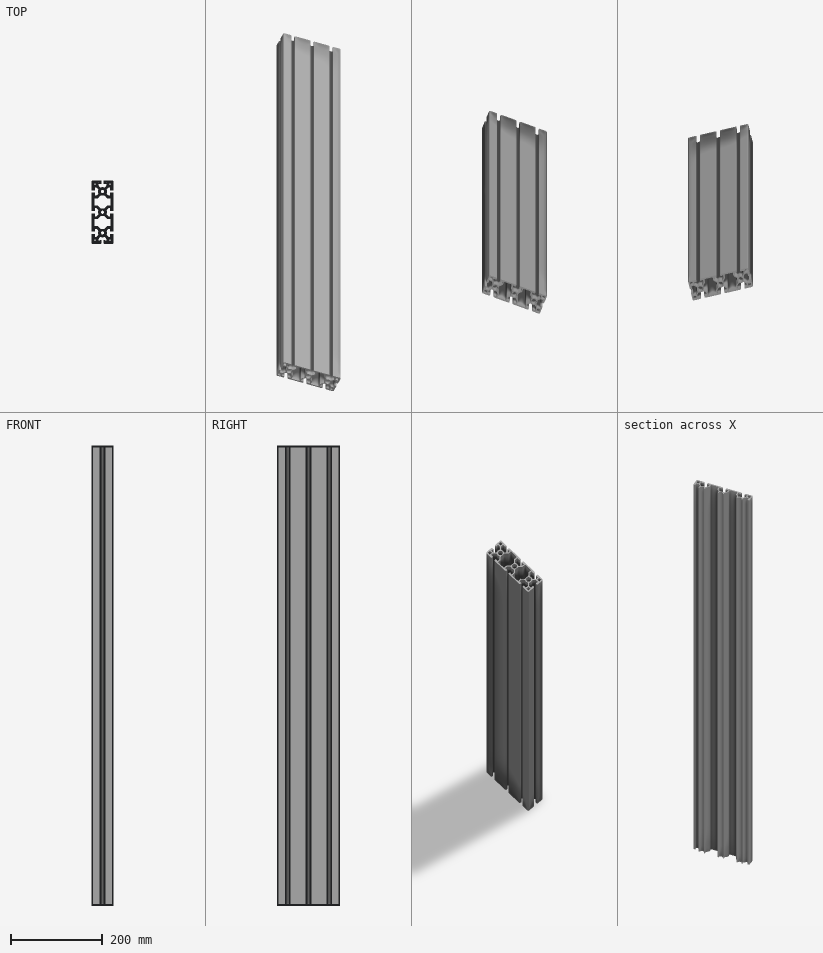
import cadquery as cq
import math

CELL = 45.0
CELL_COUNT = 3
LENGTH = 1000.0
CORNER_RADIUS = 2.6

OUTER_WALL = 3.0
SLOT_WALL = 2.6
WEB_THICKNESS = 2.3

CORE_TO_SLOT = 8.0
CORE_TO_CHAMBER = 7.0
BORE_DIAMETER = 11.0

SLOT_OPENING = 8.2
SLOT_INNER_WIDTH = 21.0
LIP_TIP_DEPTH = 4.8
LIP_ROOT_DEPTH = 4.3
BEVEL_WIDTH = 2.0
BEVEL_ANGLE = 14.5
CROWN_WIDTH = 3.2
CROWN_RADIUS = 5.0
FLOOR_ANGLE = 13.5

HALF_CELL = CELL / 2
SLOT_HALF = SLOT_INNER_WIDTH / 2
ROW_LENGTH = CELL * CELL_COUNT
CELL_CENTRES = [(i - (CELL_COUNT - 1) / 2) * CELL for i in range(CELL_COUNT)]
WEB_OFFSET = WEB_THICKNESS / 2 * math.sqrt(2)


def prism(outline):
    """Extrude a closed outline over the full length, centred on Z = 0."""
    return outline.extrude(LENGTH / 2, both=True)


def make_slot():
    """T-slot of a cell at the origin, open towards +X."""
    half_opening = SLOT_OPENING / 2
    bevel_depth = BEVEL_WIDTH * math.tan(math.radians(BEVEL_ANGLE))
    crown_half = CROWN_WIDTH / 2
    crown_edge = CORE_TO_SLOT - CROWN_RADIUS + math.sqrt(CROWN_RADIUS**2 - crown_half**2)
    slope = math.tan(math.radians(FLOOR_ANGLE))
    floor_end = (crown_edge + slope * crown_half - WEB_OFFSET) / (1 + slope)
    left_side = [
        (crown_edge, crown_half),
        (floor_end + WEB_OFFSET, floor_end),
        (SLOT_HALF + WEB_OFFSET, SLOT_HALF),
        (HALF_CELL - LIP_ROOT_DEPTH, SLOT_HALF),
        (HALF_CELL - LIP_TIP_DEPTH, half_opening),
        (HALF_CELL - bevel_depth, half_opening),
        (HALF_CELL, half_opening + BEVEL_WIDTH),
    ]
    right_side = [(x, -y) for x, y in reversed(left_side)]
    outline = (
        cq.Workplane("XY")
        .polyline(left_side + right_side)
        .threePointArc((CORE_TO_SLOT, 0), left_side[0])
        .close()
    )
    return prism(outline)


def make_chamber():
    """Hollow between two cells, centred on the origin: a box that tapers along the webs at both ends."""
    half_width = HALF_CELL - OUTER_WALL
    to_slot_wall = SLOT_HALF + SLOT_WALL
    upper = [
        (half_width, HALF_CELL - to_slot_wall),
        (to_slot_wall - WEB_OFFSET, HALF_CELL - to_slot_wall),
        (CORE_TO_CHAMBER - WEB_OFFSET, HALF_CELL - CORE_TO_CHAMBER),
    ]
    upper += [(-x, y) for x, y in reversed(upper)]
    lower = [(-x, -y) for x, y in upper]
    return prism(cq.Workplane("XY").polyline(upper + lower).close())


def make_corner_hollows():
    """Square hollow in each of the four outer corners."""
    side = HALF_CELL - SLOT_HALF - OUTER_WALL - SLOT_WALL
    margin = 2 * OUTER_WALL + side
    centres = cq.Workplane("XY").rect(CELL - margin, ROW_LENGTH - margin, forConstruction=True).vertices()
    return prism(centres.rect(side, side))


def make_bores():
    """Round bore through the core of every cell."""
    centres = cq.Workplane("XY").pushPoints([(0, y) for y in CELL_CENTRES])
    return prism(centres.circle(BORE_DIAMETER / 2))


body = prism(cq.Workplane("XY").rect(CELL, ROW_LENGTH)).edges("|Z").fillet(CORNER_RADIUS)

slot_places = [(angle, y) for y in CELL_CENTRES for angle in (0, 180)]
slot_places += [(90, CELL_CENTRES[-1]), (-90, CELL_CENTRES[0])]
slot = make_slot()
for angle, y in slot_places:
    body = body.cut(slot.rotate((0, 0, 0), (0, 0, 1), angle).translate((0, y, 0)))

chamber = make_chamber()
for y in CELL_CENTRES[:-1]:
    body = body.cut(chamber.translate((0, y + HALF_CELL, 0)))

result = body.cut(make_corner_hollows()).cut(make_bores())